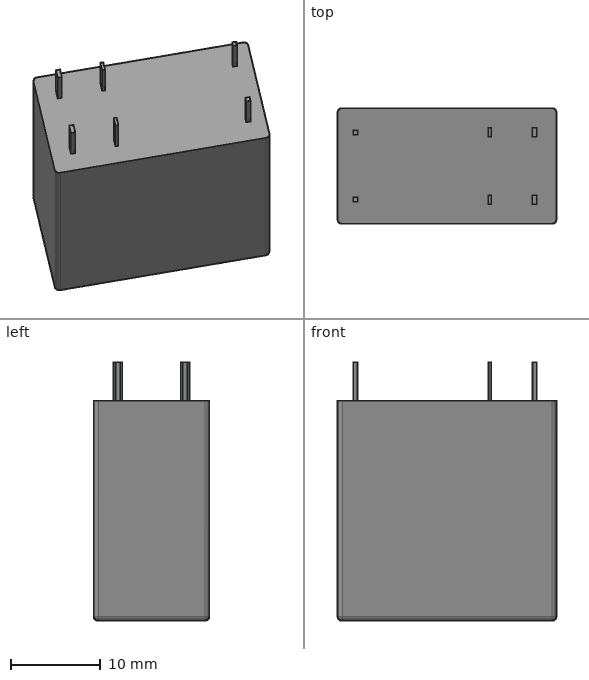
import cadquery as cq

case_length = 24.4
case_width = 12.9
total_height = 28.8
pin_length = 4.3
case_height = total_height - pin_length
edge_radius = 0.52

row_spacing = 7.5
coil_pin_x = -10.2
coil_pin_size = (0.5, 0.5)
contact_pin_x = 4.78
contact_pin_size = (0.35, 1.0)
end_pin_x = 9.75
end_pin_size = (0.5, 1.0)


def make_case():
    """Box with rounded vertical and bottom edges and a flat, sharp-edged top."""
    box = cq.Workplane("XY").box(case_length, case_width, case_height, centered=(True, True, False))
    return box.edges("|Z").fillet(edge_radius).faces("<Z").edges().fillet(edge_radius)


def make_pin_pair(x, size):
    """Two rectangular pins standing on the case top, one in each row."""
    rows = [(x, -row_spacing / 2), (x, row_spacing / 2)]
    return (
        cq.Workplane("XY", origin=(0, 0, case_height))
        .pushPoints(rows)
        .rect(*size)
        .extrude(pin_length)
    )


result = make_case()
for pin_x, pin_size in (
    (coil_pin_x, coil_pin_size),
    (contact_pin_x, contact_pin_size),
    (end_pin_x, end_pin_size),
):
    result = result.union(make_pin_pair(pin_x, pin_size))